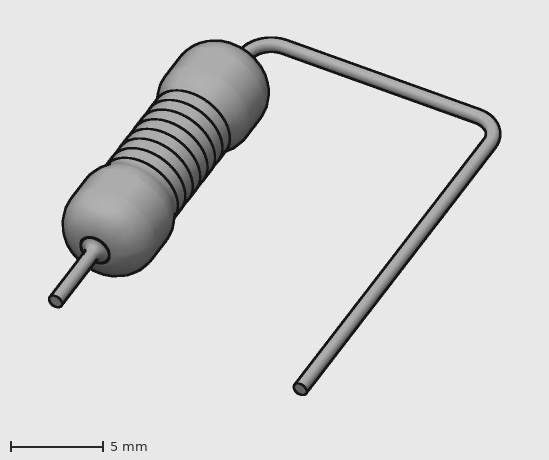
import cadquery as cq
import math


wire_diameter = 0.8
lead_spacing = 15.0
bend_radius = 1.6
overall_length = 24.1

cap_diameter = 5.5
waist_diameter = 4.67
band_diameter = 4.7
body_length = 16.5
dome_radius = 1.9
cap_straight_length = 1.75
collar_radius = 0.5

band_count = 4
band_pitch = 1.73
band_width = band_pitch / 2

straight_before_bend = 0.5

wire_radius = wire_diameter / 2
cap_radius = cap_diameter / 2
waist_radius = waist_diameter / 2
half_body = body_length / 2
dome_start = half_body - dome_radius
cap_inner_end = dome_start - cap_straight_length
waist_half_length = ((band_count - 1) * band_pitch + band_width) / 2
collar_end = half_body + collar_radius
bend_start = collar_end + straight_before_bend
lead_top = bend_start + bend_radius
lead_tip = lead_top + wire_radius - overall_length


def arc_point(center, radius, angle_degrees):
    """Point on a circle in the radius-length plane."""
    angle = math.radians(angle_degrees)
    return (center[0] + radius * math.cos(angle), center[1] + radius * math.sin(angle))


def make_body_end():
    """Upper end of the body: S-shaped shoulder, domed cap and lead collar."""
    shoulder_drop = cap_radius - waist_radius
    shoulder_length = cap_inner_end - waist_half_length
    shoulder_middle = (waist_radius + shoulder_drop / 2, waist_half_length + shoulder_length / 2)
    arc_radius = (shoulder_length**2 + shoulder_drop**2) / (4 * shoulder_drop)
    half_sweep = math.degrees(math.asin(shoulder_length / 2 / arc_radius)) / 2
    shoulder_center = (waist_radius + arc_radius, waist_half_length)
    shoulder_quarter = arc_point(shoulder_center, arc_radius, 180 - half_sweep)
    dome_center = (cap_radius - dome_radius, dome_start)
    collar_center = (wire_radius + collar_radius, collar_end)
    return (
        cq.Workplane("XY")
        .moveTo(0, waist_half_length)
        .lineTo(waist_radius, waist_half_length)
        .threePointArc(shoulder_quarter, shoulder_middle)
        .tangentArcPoint((cap_radius, cap_inner_end), relative=False)
        .lineTo(cap_radius, dome_start)
        .threePointArc(arc_point(dome_center, dome_radius, 45), (dome_center[0], half_body))
        .lineTo(collar_center[0], half_body)
        .threePointArc(arc_point(collar_center, collar_radius, 225), (wire_radius, collar_end))
        .lineTo(0, collar_end)
        .close()
        .revolve(360, (0, 0, 0), (0, 1, 0))
    )


def make_disc(diameter, center, width):
    """Disc around the body axis, centred at a place along Y."""
    upper_face = cq.Workplane("XZ", origin=(0, center + width / 2, 0))
    return upper_face.circle(diameter / 2).extrude(width)


def make_waist():
    """Plain waist with colour bands standing slightly proud, centred along the body."""
    waist = make_disc(waist_diameter, 0, 2 * waist_half_length)
    for index in range(band_count):
        center = (index - (band_count - 1) / 2) * band_pitch
        waist = waist.union(make_disc(band_diameter, center, band_width))
    return waist


def make_wire():
    """One wire through the body, rounded over two quarter bends to the return lead."""
    corner_offset = bend_radius * (1 - math.sqrt(0.5))
    path = (
        cq.Workplane("XY")
        .moveTo(0, lead_tip)
        .lineTo(0, bend_start)
        .threePointArc((corner_offset, lead_top - corner_offset), (bend_radius, lead_top))
        .lineTo(lead_spacing - bend_radius, lead_top)
        .threePointArc(
            (lead_spacing - corner_offset, lead_top - corner_offset), (lead_spacing, bend_start)
        )
        .lineTo(lead_spacing, lead_tip)
    )
    return cq.Workplane("XZ", origin=(0, lead_tip, 0)).circle(wire_radius).sweep(path)


upper_end = make_body_end()
body = make_waist().union(upper_end).union(upper_end.mirror("XZ"))
result = body.union(make_wire())